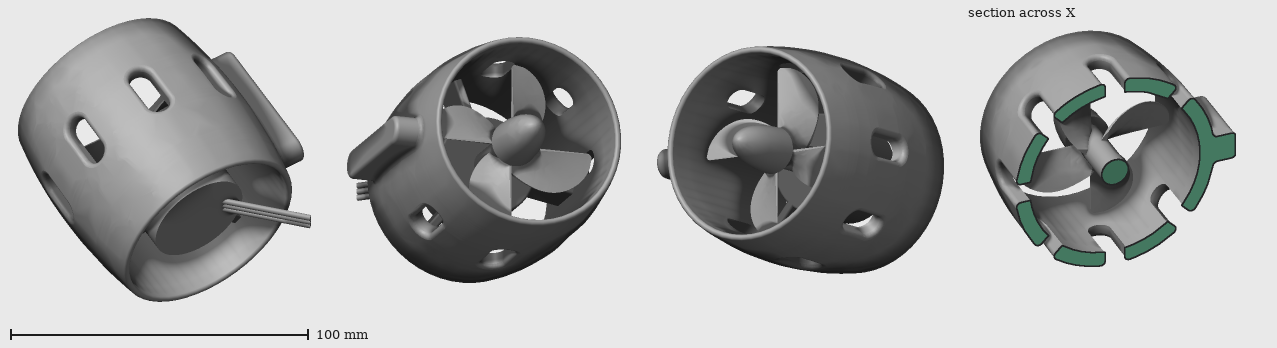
import cadquery as cq
import math


DUCT_LENGTH = 70.1
BORE_RADIUS = 30.95
DUCT_END_RADIUS = 33.1
WALL_MIDDLE_RADIUS = (BORE_RADIUS + DUCT_END_RADIUS) / 2
DUCT_MAX_RADIUS = 36.5
RIM_DEPTH = 0.9

WINDOW_SPACING = 45
WINDOW_COUNT = 7
FIRST_WINDOW_ANGLE = -45
WINDOW_X = -3.5
WINDOW_STRAIGHT = 11.0
WINDOW_WIDTH = 8.0
WINDOW_FILLET = 1.6

MOUNT_LENGTH = 50.0
MOUNT_WIDTH = 10.0
MOUNT_TOP_Y = 44.1
MOUNT_FILLET = 1.5

MOTOR_RADIUS = 17.1
MOTOR_FRONT_X = 6.4
MOTOR_LENGTH = 22.0
MOTOR_REAR_X = MOTOR_FRONT_X + MOTOR_LENGTH
STRUT_ANGLES = (70, 190, 310)
STRUT_WIDTH = 3.0
STRUT_LENGTH = 14.7
FRONT_FILLET = 0.8

NOSE_TIP_X = -42.0
NOSE_LENGTH = 22.0
NOSE_RADIUS = 8.0
NOSE_REAR_X = NOSE_TIP_X + NOSE_LENGTH
SHAFT_RADIUS = 5.0
BLADE_COUNT = 4
BLADE_FRONT_X = -17.3
BLADE_REAR_X = -9.0
BLADE_DEPTH = BLADE_REAR_X - BLADE_FRONT_X
BLADE_LEAD = 40.05
BLADE_TIP_RADIUS = 28.7
BLADE_ROOT_SIDES = (-1.0, 1.4)
BLADE_TIP_SIDES = (-0.2, 0.4)
BLADE_STRAIGHT_TOP = (0, 27.1)
BLADE_CORNER_MIDDLE = (-0.6, 28.3)
BLADE_CORNER_END = (-2.3, BLADE_TIP_RADIUS)
BLADE_CURVED_SIDE = [(-6.9, 27.4), (-11.4, 23.2), (-13.6, 17.0), (-10.2, 6.15), (-4.3, 0)]

WIRE_COUNT = 3
WIRE_RADIUS = 1.0
WIRE_PITCH = 2.1
WIRE_ANGLE = 45
WIRE_END_X = 49.1
WIRE_END_Y = 31.2


def make_duct_shell():
    """Barrel-shaped shell with a straight bore and fully rounded rims."""
    half = DUCT_LENGTH / 2
    rim_x = half - RIM_DEPTH
    return (
        cq.Workplane("XY")
        .moveTo(-rim_x, BORE_RADIUS)
        .threePointArc((-half, WALL_MIDDLE_RADIUS), (-rim_x, DUCT_END_RADIUS))
        .threePointArc((0, DUCT_MAX_RADIUS), (rim_x, DUCT_END_RADIUS))
        .threePointArc((half, WALL_MIDDLE_RADIUS), (rim_x, BORE_RADIUS))
        .close()
        .revolve(360, (0, 0, 0), (1, 0, 0))
    )


def add_mount(shell):
    """Add the oblong mount, then blend its foot into the duct."""
    mount = (
        cq.Workplane("XZ", origin=(0, WALL_MIDDLE_RADIUS, 0))
        .slot2D(MOUNT_LENGTH, MOUNT_WIDTH)
        .extrude(WALL_MIDDLE_RADIUS - MOUNT_TOP_Y)
        .faces(">Y")
        .edges()
        .fillet(MOUNT_FILLET)
    )
    bore = cq.Workplane("YZ", origin=(-DUCT_LENGTH / 2, 0, 0)).circle(BORE_RADIUS).extrude(DUCT_LENGTH)
    joined = shell.union(mount.cut(bore))
    foot = cq.selectors.BoxSelector(
        (-MOUNT_LENGTH, WALL_MIDDLE_RADIUS, -MOUNT_WIDTH),
        (MOUNT_LENGTH, MOUNT_TOP_Y - MOUNT_FILLET, MOUNT_WIDTH),
        boundingbox=True,
    )
    return joined.edges(foot).edges("not |Y").fillet(MOUNT_FILLET)


def cut_windows(duct):
    """Cut the radial windows one by one, then round their outer edges."""
    window_length = WINDOW_STRAIGHT + WINDOW_WIDTH
    cutter = (
        cq.Workplane("XY", origin=(WINDOW_X, 0, 0))
        .slot2D(window_length, WINDOW_WIDTH)
        .extrude(DUCT_MAX_RADIUS)
    )
    for i in range(WINDOW_COUNT):
        angle = FIRST_WINDOW_ANGLE + i * WINDOW_SPACING
        duct = duct.cut(cutter.rotate((0, 0, 0), (1, 0, 0), angle))
    window_zone = cq.selectors.BoxSelector(
        (WINDOW_X - window_length / 2, -DUCT_MAX_RADIUS, -DUCT_MAX_RADIUS),
        (WINDOW_X + window_length / 2, DUCT_MAX_RADIUS, DUCT_MAX_RADIUS),
    )
    return duct.faces("%REVOLUTION").edges(window_zone).fillet(WINDOW_FILLET)


def make_motor_mount():
    """Motor body and its radial struts, joined and rounded along the front edges."""
    spider = cq.Workplane("YZ", origin=(MOTOR_FRONT_X, 0, 0)).circle(MOTOR_RADIUS).extrude(MOTOR_LENGTH)
    for angle in STRUT_ANGLES:
        strut = (
            cq.Workplane("XY")
            .box(STRUT_LENGTH, WALL_MIDDLE_RADIUS, STRUT_WIDTH, centered=(False, False, True))
            .translate((MOTOR_FRONT_X, 0, 0))
            .rotate((0, 0, 0), (1, 0, 0), angle)
        )
        spider = spider.union(strut)
    return spider.faces("<X").edges().fillet(FRONT_FILLET)


def make_housing():
    """Duct, mount, struts and motor as one solid."""
    shell = add_mount(cut_windows(make_duct_shell()))
    return shell.union(make_motor_mount())


def make_blade():
    """One blade standing along +Z: a helical sheet trimmed to the blade outline."""
    twist = 360 * BLADE_DEPTH / BLADE_LEAD
    front = cq.Workplane("YZ", origin=(BLADE_FRONT_X, 0, 0))
    sheet = (
        front.moveTo(BLADE_ROOT_SIDES[0], 0)
        .lineTo(BLADE_ROOT_SIDES[1], 0)
        .lineTo(BLADE_TIP_SIDES[1], BLADE_TIP_RADIUS)
        .lineTo(BLADE_TIP_SIDES[0], BLADE_TIP_RADIUS)
        .close()
        .twistExtrude(BLADE_DEPTH, twist)
    )
    outline = (
        front.lineTo(*BLADE_STRAIGHT_TOP)
        .threePointArc(BLADE_CORNER_MIDDLE, BLADE_CORNER_END)
        .spline(BLADE_CURVED_SIDE, includeCurrent=True)
        .close()
        .extrude(BLADE_DEPTH)
    )
    return sheet.intersect(outline)


def make_propeller():
    """Half-ellipsoid nose and four blades on a shaft that ends at the motor face."""
    nose = (
        cq.Workplane("XY")
        .moveTo(NOSE_REAR_X, NOSE_RADIUS)
        .ellipseArc(NOSE_LENGTH, NOSE_RADIUS, 90, 180, startAtCurrent=True)
        .lineTo(NOSE_REAR_X, 0)
        .close()
        .revolve(360, (0, 0, 0), (1, 0, 0))
    )
    shaft = (
        cq.Workplane("YZ", origin=(NOSE_REAR_X, 0, 0))
        .circle(SHAFT_RADIUS)
        .extrude(MOTOR_FRONT_X - NOSE_REAR_X)
    )
    propeller = nose.union(shaft)
    blade = make_blade()
    for i in range(BLADE_COUNT):
        propeller = propeller.union(blade.rotate((0, 0, 0), (1, 0, 0), i * 360 / BLADE_COUNT))
    return propeller


def make_wires():
    """Round wires side by side along Z, trimmed flush with the rear face of the motor."""
    direction = cq.Vector(math.cos(math.radians(WIRE_ANGLE)), math.sin(math.radians(WIRE_ANGLE)), 0)
    length = (WIRE_END_X - MOTOR_REAR_X) / direction.x + 2 * WIRE_RADIUS
    motor_space = (
        cq.Workplane("YZ", origin=(MOTOR_FRONT_X, 0, 0)).circle(MOTOR_RADIUS).extrude(MOTOR_LENGTH)
    )
    wires = []
    for i in range(WIRE_COUNT):
        z = (i - (WIRE_COUNT - 1) / 2) * WIRE_PITCH
        end = cq.Plane(origin=(WIRE_END_X, WIRE_END_Y, z), xDir=(0, 0, 1), normal=direction.toTuple())
        wire = cq.Workplane(end).circle(WIRE_RADIUS).extrude(-length).cut(motor_space)
        wires.append(wire.solids().val())
    return wires


housing = make_housing()
propeller = make_propeller()
wires = make_wires()

result = cq.Compound.makeCompound([housing.val(), propeller.val(), *wires])